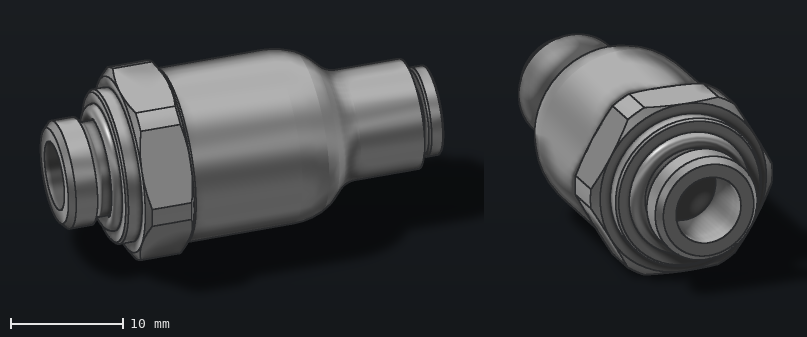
import cadquery as cq
import math

LENGTH = 35.08

THREAD_RADIUS = 4.9
THREAD_CHAMFER = 0.55
THREAD_SHOULDER_Y = 2.55
THREAD_SHOULDER_ANGLE = 45.0
NECK_RADIUS = 4.3
NECK_FILLET = 0.3
BORE_RADIUS = 3.12

SEAL_SECTION_RADIUS = 0.75
SEAL_RADIUS = NECK_RADIUS + SEAL_SECTION_RADIUS

COLLAR_RADIUS = 7.0
COLLAR_START_Y = 4.6
COLLAR_CHAMFER = 0.2

ACROSS_FLATS = 16.0
ACROSS_CORNERS = 17.5
HEX_START_Y = 6.07
HEX_END_Y = 10.63
HEX_CHAMFER_ANGLE = 30.0

BODY_RADIUS = 7.9
BODY_EDGE_RADIAL = 0.1
BODY_EDGE_AXIAL = 0.2
BODY_END_Y = 20.75
SHOULDER_LARGE_ARC = 6.52
SHOULDER_SMALL_ARC = 3.95
SHOULDER_HOLLOW_ARC = 2.35
SHOULDER_BLEND_ANGLE = 24.0
SHOULDER_CONE_ANGLE = 45.0

SOCKET_RADIUS = 5.0
SOCKET_END_Y = 33.0
RELEASE_NECK_RADIUS = 2.63
RELEASE_RADIUS = 4.07
RELEASE_START_Y = 33.75
RELEASE_INNER_CHAMFER = 0.2
RELEASE_OUTER_CHAMFER = 0.1

BORE_DEPTH = HEX_START_Y


def arc_point(centre, radius, degrees):
    """Point on a profile arc; the angle is measured from +X towards +Y."""
    angle = math.radians(degrees)
    return (centre[0] + radius * math.cos(angle), centre[1] + radius * math.sin(angle))


def revolve_about_y(profile):
    return profile.close().revolve(360, (0, 0), (0, 1))


def make_threaded_end():
    """Thread stub, sloping shoulder with a filleted root, and the undercut neck."""
    slope = THREAD_SHOULDER_ANGLE
    fillet_x = NECK_RADIUS + NECK_FILLET
    root_x = fillet_x - NECK_FILLET * math.cos(math.radians(slope))
    root_y = THREAD_SHOULDER_Y + (THREAD_RADIUS - root_x) / math.tan(math.radians(slope))
    fillet_centre = (fillet_x, root_y + NECK_FILLET * math.sin(math.radians(slope)))
    profile = (
        cq.Workplane("XY")
        .lineTo(THREAD_RADIUS - THREAD_CHAMFER, 0)
        .lineTo(THREAD_RADIUS, THREAD_CHAMFER)
        .lineTo(THREAD_RADIUS, THREAD_SHOULDER_Y)
        .lineTo(root_x, root_y)
        .threePointArc(
            arc_point(fillet_centre, NECK_FILLET, 180 + slope / 2),
            (NECK_RADIUS, fillet_centre[1]),
        )
        .lineTo(NECK_RADIUS, HEX_START_Y)
        .lineTo(0, HEX_START_Y)
    )
    return revolve_about_y(profile)


def make_seal_ring():
    profile = cq.Workplane("XY").center(SEAL_RADIUS, COLLAR_START_Y).circle(SEAL_SECTION_RADIUS)
    return profile.revolve(360, (-SEAL_RADIUS, 0), (-SEAL_RADIUS, 1))


def make_collar():
    profile = (
        cq.Workplane("XY")
        .moveTo(0, COLLAR_START_Y)
        .lineTo(COLLAR_RADIUS - COLLAR_CHAMFER, COLLAR_START_Y)
        .lineTo(COLLAR_RADIUS, COLLAR_START_Y + COLLAR_CHAMFER)
        .lineTo(COLLAR_RADIUS, HEX_START_Y)
        .lineTo(0, HEX_START_Y)
    )
    return revolve_about_y(profile)


def make_hexagon():
    """Hexagon with flats facing +Z and -Z, its corners turned round and chamfered at both ends."""
    flat_radius = ACROSS_FLATS / 2
    corner_radius = ACROSS_CORNERS / 2
    sharp_diameter = ACROSS_FLATS / math.cos(math.radians(30))
    chamfer_height = (corner_radius - flat_radius) * math.tan(math.radians(HEX_CHAMFER_ANGLE))
    prism = (
        cq.Workplane("XZ", origin=(0, HEX_START_Y, 0))
        .polygon(6, sharp_diameter)
        .extrude(HEX_START_Y - HEX_END_Y)
    )
    envelope = (
        cq.Workplane("XY")
        .moveTo(0, HEX_START_Y)
        .lineTo(flat_radius, HEX_START_Y)
        .lineTo(corner_radius, HEX_START_Y + chamfer_height)
        .lineTo(corner_radius, HEX_END_Y - chamfer_height)
        .lineTo(flat_radius, HEX_END_Y)
        .lineTo(0, HEX_END_Y)
    )
    return prism.intersect(revolve_about_y(envelope))


def make_body():
    """Cylindrical body, S-shaped shoulder of tangent arcs around a cone, and the tube socket."""
    blend = SHOULDER_BLEND_ANGLE
    cone = SHOULDER_CONE_ANGLE
    large_centre = (BODY_RADIUS - SHOULDER_LARGE_ARC, BODY_END_Y)
    blend_point = arc_point(large_centre, SHOULDER_LARGE_ARC, blend)
    small_centre = arc_point(large_centre, SHOULDER_LARGE_ARC - SHOULDER_SMALL_ARC, blend)
    cone_start = arc_point(small_centre, SHOULDER_SMALL_ARC, cone)

    hollow_x = SOCKET_RADIUS + SHOULDER_HOLLOW_ARC
    cone_end_x = hollow_x - SHOULDER_HOLLOW_ARC * math.cos(math.radians(cone))
    cone_end_y = cone_start[1] + (cone_start[0] - cone_end_x) / math.tan(math.radians(cone))
    hollow_centre = (hollow_x, cone_end_y + SHOULDER_HOLLOW_ARC * math.sin(math.radians(cone)))

    profile = (
        cq.Workplane("XY")
        .moveTo(0, HEX_END_Y)
        .lineTo(BODY_RADIUS - BODY_EDGE_RADIAL, HEX_END_Y)
        .lineTo(BODY_RADIUS, HEX_END_Y + BODY_EDGE_AXIAL)
        .lineTo(BODY_RADIUS, BODY_END_Y)
        .threePointArc(arc_point(large_centre, SHOULDER_LARGE_ARC, blend / 2), blend_point)
        .threePointArc(arc_point(small_centre, SHOULDER_SMALL_ARC, (blend + cone) / 2), cone_start)
        .lineTo(cone_end_x, cone_end_y)
        .threePointArc(
            arc_point(hollow_centre, SHOULDER_HOLLOW_ARC, 180 + cone / 2),
            (SOCKET_RADIUS, hollow_centre[1]),
        )
        .lineTo(SOCKET_RADIUS, SOCKET_END_Y)
        .lineTo(0, SOCKET_END_Y)
    )
    return revolve_about_y(profile)


def make_release_ring():
    profile = (
        cq.Workplane("XY")
        .moveTo(0, SOCKET_END_Y)
        .lineTo(RELEASE_NECK_RADIUS, SOCKET_END_Y)
        .lineTo(RELEASE_NECK_RADIUS, RELEASE_START_Y)
        .lineTo(RELEASE_RADIUS - RELEASE_INNER_CHAMFER, RELEASE_START_Y)
        .lineTo(RELEASE_RADIUS, RELEASE_START_Y + RELEASE_INNER_CHAMFER)
        .lineTo(RELEASE_RADIUS, LENGTH - RELEASE_OUTER_CHAMFER)
        .lineTo(RELEASE_RADIUS - RELEASE_OUTER_CHAMFER, LENGTH)
        .lineTo(0, LENGTH)
    )
    return revolve_about_y(profile)


def make_bore():
    return cq.Workplane("XZ").circle(BORE_RADIUS).extrude(-BORE_DEPTH)


result = (
    make_threaded_end()
    .union(make_seal_ring())
    .union(make_collar())
    .union(make_hexagon())
    .union(make_body())
    .union(make_release_ring())
    .cut(make_bore())
)